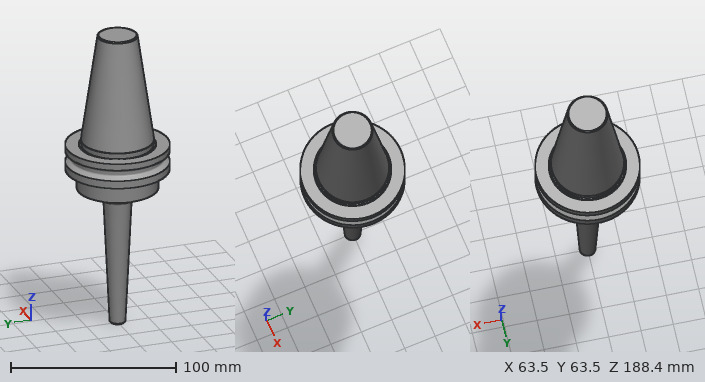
import cadquery as cq
import math

overall_length = 188.4

taper_length = 68.4
gauge_radius = 22.2
taper_ratio = 7 / 24
top_chamfer = 0.8

relief_radius = 21.9
relief_top_drop = 0.5
undercut_radius = 21.7
undercut_top_drop = 1.5
undercut_outer_radius = 23.5
undercut_depth = 0.8

flange_radius = 31.75
flange_drop = 3.2
flange_height = 16.0
upper_rim_height = 4.1
lower_rim_height = 4.9
groove_root_radius = 28.3
groove_wall_angle = 30.0
groove_fillet = 1.0

body_radius = 24.9
body_bottom = 88.5
cone_bottom = 80.8

neck_radius = 8.7
neck_fillet = 1.1
tip_radius = 4.9
tip_chamfer = 1.1

gauge_height = overall_length - taper_length
shank_top_radius = gauge_radius - taper_length * taper_ratio / 2
flange_top = gauge_height - flange_drop
flange_bottom = flange_top - flange_height
groove_top = flange_top - upper_rim_height
groove_bottom = flange_bottom + lower_rim_height

groove_depth = flange_radius - groove_root_radius
groove_wall_height = groove_depth * math.tan(math.radians(groove_wall_angle))
root_top = groove_top - groove_wall_height
root_bottom = groove_bottom + groove_wall_height
undercut_floor_radius = undercut_outer_radius - undercut_depth
undercut_floor = flange_top - undercut_depth

section = [
    (0, 0),
    (tip_radius - tip_chamfer, 0),
    (tip_radius, tip_chamfer),
    (neck_radius, cone_bottom),
    (body_radius, body_bottom),
    (body_radius, flange_bottom),
    (flange_radius, flange_bottom),
    (flange_radius, groove_bottom),
    (groove_root_radius, root_bottom),
    (groove_root_radius, root_top),
    (flange_radius, groove_top),
    (flange_radius, flange_top),
    (undercut_outer_radius, flange_top),
    (undercut_floor_radius, undercut_floor),
    (undercut_radius, undercut_floor),
    (undercut_radius, flange_top),
    (relief_radius, gauge_height - undercut_top_drop),
    (relief_radius, gauge_height - relief_top_drop),
    (gauge_radius, gauge_height),
    (shank_top_radius, overall_length - top_chamfer),
    (shank_top_radius - top_chamfer, overall_length),
    (0, overall_length),
]
holder = cq.Workplane("XZ").polyline(section).close().revolve(360, (0, 0), (0, 1))


def fillet_ring(body, height, fillet_radius):
    """Round the circular edge that lies at the given height."""
    reach = overall_length
    band = 0.02
    ring = cq.selectors.BoxSelector((-reach, -reach, height - band), (reach, reach, height + band))
    return body.edges(ring).fillet(fillet_radius)


for root_height in (root_bottom, root_top):
    holder = fillet_ring(holder, root_height, groove_fillet)

result = fillet_ring(holder, cone_bottom, neck_fillet)